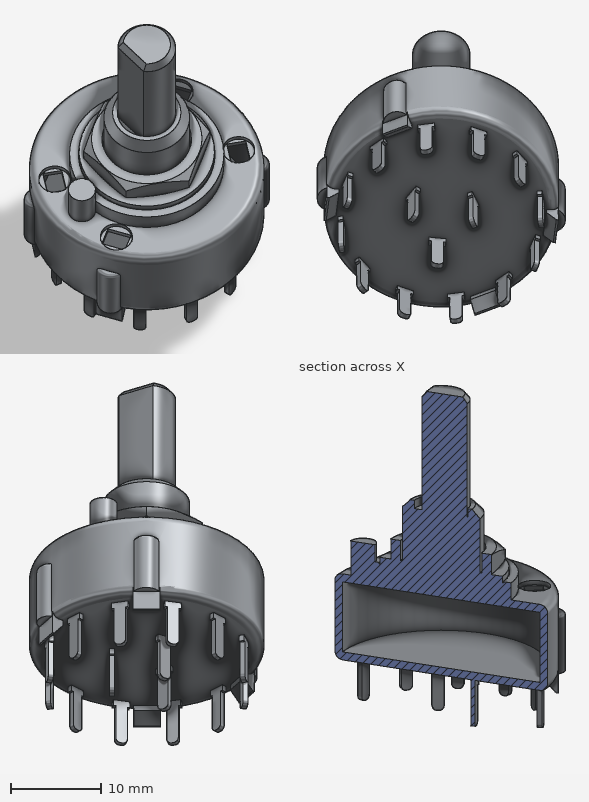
import cadquery as cq
import math


body_diameter = 26.0
body_height = 10.2
body_edge_radius = 1.0
wall = 1.0
cavity_diameter = body_diameter - 2 * wall

flange_diameter = 17.1
flange_height = 2.0
washer_diameter = 15.0
washer_recess_diameter = 15.15
washer_recess_depth = 0.15
washer_height = 0.6
nut_across_flats = 12.35
nut_height = 2.35
nut_bore_diameter = 9.9
nut_face_diameter = 12.25
nut_bevel_angle = 30
bushing_diameter = 9.5
bushing_height = 7.35
bushing_chamfer = 0.95
bushing_bore_diameter = 6.5
bushing_bore_depth = 0.95

shaft_diameter = 6.4
shaft_flat_distance = 2.35
shaft_chamfer_width = 0.58
shaft_chamfer_height = 0.7

flange_top = body_height + flange_height
nut_bottom = flange_top + washer_height
nut_top = nut_bottom + nut_height
bushing_top = nut_bottom + bushing_height

peg_diameter = 3.0
peg_radius = 9.55
peg_height = 4.0
peg_angle = 270

clip_angles = (60, 120, 240, 300)
counterbore_diameter = 3.55
counterbore_radius = 10.4
counterbore_depth = 0.5
window_radial = 2.12
window_tangential = 2.7
window_depth = 2 * wall
rib_diameter = 3.0
rib_radius = 12.3
rib_bottom = 0.25
rib_top = 7.15
rib_edge_radius = 0.45
clip_width = 3.0
clip_outer_radius = 12.9
clip_inner_radius = 11.55
clip_tip_inner_radius = 12.65
clip_bevel_start = -0.65
clip_bottom = -1.95

overall_height = 38.6
shaft_above_bushing = 13.05
shaft_top = bushing_top + shaft_above_bushing

pin_width = 1.35
pin_thickness = 0.58
pin_shoulder_width = 1.9
pin_shoulder_bottom = -0.75
pin_tip_radius = 0.58
pin_bottom = shaft_top - overall_height
outer_pin_count = 12
outer_pin_radius = 11.15
common_pin_count = 3
common_pin_radius = 3.85
common_pin_start = 90


def disc(diameter, bottom, top):
    return cq.Workplane("XY").workplane(offset=bottom).circle(diameter / 2).extrude(top - bottom)


def place(solid, radius, angle):
    """Move a solid out along +X by the radius, then turn it about the Z axis."""
    return solid.translate((radius, 0, 0)).rotate((0, 0, 0), (0, 0, 1), angle)


def make_body():
    """Hollow rounded drum with the ribs and clips on its outside."""
    body = disc(body_diameter, 0, body_height).edges().fillet(body_edge_radius)
    for angle in clip_angles:
        body = body.union(place(make_rib(), rib_radius, angle))
        body = body.union(place(make_clip(), 0, angle))
    return body.cut(disc(cavity_diameter, wall, body_height - wall))


def make_nut():
    corner_radius = nut_across_flats / math.sqrt(3)
    hexagon = (
        cq.Workplane("XY")
        .workplane(offset=nut_bottom)
        .polygon(6, 2 * corner_radius)
        .extrude(nut_height)
    )
    face_radius = nut_face_diameter / 2
    bevel = (corner_radius - face_radius) * math.tan(math.radians(nut_bevel_angle))
    envelope = (
        cq.Workplane("XZ")
        .moveTo(0, nut_bottom)
        .lineTo(face_radius, nut_bottom)
        .lineTo(corner_radius, nut_bottom + bevel)
        .lineTo(corner_radius, nut_top - bevel)
        .lineTo(face_radius, nut_top)
        .lineTo(0, nut_top)
        .close()
        .revolve(360, (0, 0, 0), (0, 1, 0))
    )
    return hexagon.intersect(envelope).cut(disc(nut_bore_diameter, nut_bottom, nut_top))


def make_mount():
    """Flange with a shallow washer recess, then the washer, nut and bushing."""
    recess_bottom = flange_top - washer_recess_depth
    flange = disc(flange_diameter, body_height - wall, flange_top)
    flange = flange.cut(disc(washer_recess_diameter, recess_bottom, flange_top))
    washer = disc(washer_diameter, recess_bottom, nut_bottom)
    bushing = disc(bushing_diameter, flange_top, bushing_top)
    bushing = bushing.faces(">Z").edges().chamfer(bushing_chamfer)
    mount = flange.union(washer).union(make_nut()).union(bushing)
    return mount.cut(disc(bushing_bore_diameter, bushing_top - bushing_bore_depth, bushing_top))


def make_shaft():
    bottom = bushing_top - bushing_bore_depth
    height = shaft_top - bottom
    flat_cutter = cq.Workplane("XY").box(
        shaft_diameter, shaft_diameter, height, centered=(True, False, False)
    )
    flat_cutter = flat_cutter.translate((0, -shaft_flat_distance - shaft_diameter, bottom))
    shaft = disc(shaft_diameter, bottom, shaft_top).cut(flat_cutter)
    return shaft.faces(">Z").edges().chamfer(shaft_chamfer_height, shaft_chamfer_width)


def make_window():
    """Cutter for a round counterbore over a rectangular window into the cavity."""
    counterbore = disc(counterbore_diameter, body_height - counterbore_depth, body_height)
    window = cq.Workplane("XY").box(
        window_radial, window_tangential, window_depth, centered=(True, True, False)
    )
    return counterbore.union(window.translate((0, 0, body_height - window_depth)))


def make_rib():
    return disc(rib_diameter, rib_bottom, rib_top).faces(">Z").edges().fillet(rib_edge_radius)


def make_clip():
    """Hook under the body rim, bevelled on its inner side."""
    return (
        cq.Workplane("XZ")
        .moveTo(clip_inner_radius, wall)
        .lineTo(clip_outer_radius, wall)
        .lineTo(clip_outer_radius, clip_bottom)
        .lineTo(clip_tip_inner_radius, clip_bottom)
        .lineTo(clip_inner_radius, clip_bevel_start)
        .close()
        .extrude(clip_width / 2, both=True)
    )


def make_pin():
    """Flat terminal with a wider shoulder at the body and a rounded tip."""
    blade = cq.Workplane("XY").box(
        pin_thickness, pin_width, wall - pin_bottom, centered=(True, True, False)
    )
    blade = blade.translate((0, 0, pin_bottom)).faces("<Z").edges("|X").fillet(pin_tip_radius)
    shoulder = cq.Workplane("XY").box(
        pin_thickness, pin_shoulder_width, wall - pin_shoulder_bottom, centered=(True, True, False)
    )
    return blade.union(shoulder.translate((0, 0, pin_shoulder_bottom)))


def make_pins():
    pins = cq.Workplane("XY")
    for index in range(outer_pin_count):
        angle = (index + 0.5) * 360 / outer_pin_count
        pins = pins.add(place(make_pin(), outer_pin_radius, angle))
    for index in range(common_pin_count):
        angle = common_pin_start + index * 360 / common_pin_count
        pins = pins.add(place(make_pin(), common_pin_radius, angle))
    return pins.combine()


peg = disc(peg_diameter, body_height - wall, body_height + peg_height)

result = make_body().union(make_mount()).union(make_shaft())
result = result.union(place(peg, peg_radius, peg_angle))
for clip_angle in clip_angles:
    result = result.cut(place(make_window(), counterbore_radius, clip_angle))
result = result.union(make_pins())